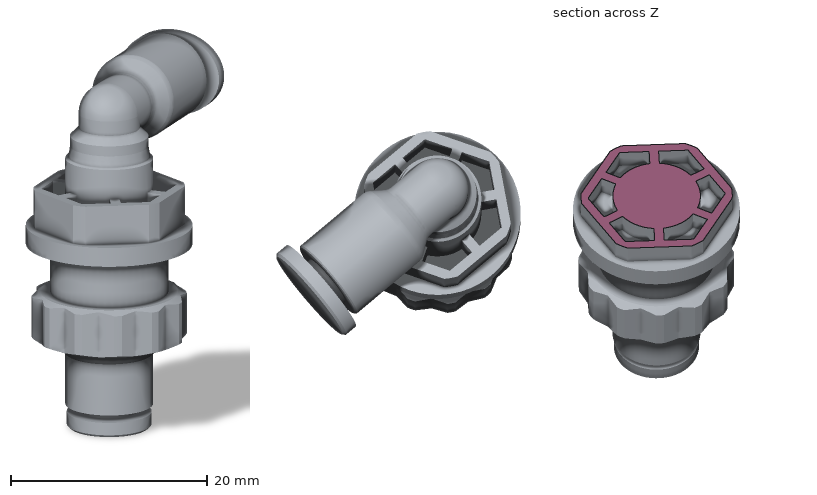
import cadquery as cq
import math


total_height = 37.7
tube_radius = 4.5
elbow_radius = 3.13
arm_height = total_height - tube_radius
arm_length = 17.1

ring_radius = 4.35
ring_thickness = 1.6
ring_chamfer = 0.25
arm_ring_half_width = 5.45
neck_radius = 2.8
neck_length = 0.83

sleeve_top = 7.85
shank_radius = 6.05
flange_diameter = 17.0
flange_radius = flange_diameter / 2
flange_bottom = 19.38
flange_top = 21.38
tube_bevel_height = 0.2
tube_top = 28.65

base_radius = 4.0
base_bottom_radius = 4.2
base_taper_top = 29.8
base_shoulder = 30.85
base_top = base_shoulder + base_radius - elbow_radius

nut_bottom = 9.27
cone_radius = tube_radius + nut_bottom - sleeve_top
nut_top = 14.33
nut_radius = 7.9
nut_valley_radius = 7.35
nut_face_radius = 7.0
nut_bevel_height = 0.38
nut_teeth = 12
tooth_half_angle = 3.0

hex_top = 25.4
hex_flat = 7.0
hex_corner_radius = 7.73
hex_sides = 6
hex_wall = 0.98
rib_width = 1.0

barrel_end_chamfer = 0.15
barrel_front = 5.85
cone_end = 3.95
blend_tangent = 0.35


def polar(radius, degrees):
    angle = math.radians(degrees)
    return (radius * math.cos(angle), radius * math.sin(angle))


def disc(radius, bottom, top):
    return cq.Workplane("XY").workplane(offset=bottom).circle(radius).extrude(top - bottom)


def hexagon(flat, bottom, top):
    """Hexagonal prism with a corner pointing along -Y; flat is centre to side."""
    corner = flat / math.cos(math.pi / hex_sides)
    points = [polar(corner, 90 + 360 / hex_sides * i) for i in range(hex_sides)]
    return cq.Workplane("XY").workplane(offset=bottom).polyline(points).close().extrude(top - bottom)


def make_body():
    """Turned core from the lower release ring up to the elbow."""
    neck_top = ring_thickness + neck_length
    profile = [
        (0, 0),
        (ring_radius - ring_chamfer, 0),
        (ring_radius, ring_chamfer),
        (ring_radius, ring_thickness),
        (neck_radius, ring_thickness),
        (neck_radius, neck_top),
        (tube_radius, neck_top),
        (tube_radius, sleeve_top),
        (cone_radius, nut_bottom),
        (shank_radius, nut_bottom),
        (shank_radius, flange_bottom),
        (flange_radius, flange_bottom),
        (flange_radius, flange_top),
        (tube_radius, flange_top),
        (tube_radius, tube_top - tube_bevel_height),
        (base_bottom_radius, tube_top),
        (base_radius, base_taper_top),
        (base_radius, base_shoulder),
        (elbow_radius, base_top),
        (elbow_radius, arm_height),
        (0, arm_height),
    ]
    return cq.Workplane("XZ").polyline(profile).close().revolve(360, (0, 0), (0, 1))


def make_nut():
    """Nut with flat-sided V notches between narrow teeth and bevelled end faces."""
    pitch = 360 / nut_teeth
    outline = cq.Workplane("XY").workplane(offset=nut_bottom)
    outline = outline.moveTo(*polar(nut_radius, -tooth_half_angle))
    for i in range(nut_teeth):
        middle = i * pitch
        outline = outline.threePointArc(
            polar(nut_radius, middle), polar(nut_radius, middle + tooth_half_angle)
        )
        outline = outline.lineTo(*polar(nut_valley_radius, middle + pitch / 2))
        if i < nut_teeth - 1:
            outline = outline.lineTo(*polar(nut_radius, middle + pitch - tooth_half_angle))
    knurl = outline.close().extrude(nut_top - nut_bottom)
    profile = [
        (0, nut_bottom),
        (nut_face_radius, nut_bottom),
        (nut_radius, nut_bottom + nut_bevel_height),
        (nut_radius, nut_top - nut_bevel_height),
        (nut_face_radius, nut_top),
        (0, nut_top),
    ]
    bevelled_disc = cq.Workplane("XZ").polyline(profile).close().revolve(360, (0, 0), (0, 1))
    return knurl.intersect(bevelled_disc)


def make_hex_head():
    """Hex head with rounded-off corners, hollowed around the tube and braced by ribs."""
    head = hexagon(hex_flat, flange_top, hex_top).intersect(disc(hex_corner_radius, flange_top, hex_top))
    inner_flat = hex_flat - hex_wall
    head = head.cut(hexagon(inner_flat, flange_top, hex_top))
    rib_height = hex_top - flange_top
    rib_reach = hex_flat - hex_wall / 2
    rib = cq.Workplane("XY").box(rib_reach, rib_width, rib_height, centered=(False, True, False))
    rib = rib.translate((0, 0, flange_top))
    for i in range(hex_sides):
        head = head.union(rib.rotate((0, 0, 0), (0, 0, 1), 360 / hex_sides * i))
    return head


def make_arm():
    """Elbow and barrel turned about the arm axis, with an oval release ring at the end."""
    ring_start = arm_length - ring_thickness
    barrel_end = ring_start - neck_length
    cone_slope = math.atan2(tube_radius - elbow_radius, barrel_front - cone_end)
    profile = [
        (0, 0),
        (elbow_radius, 0),
        (elbow_radius, cone_end),
        (tube_radius, barrel_front),
        (tube_radius, barrel_end - barrel_end_chamfer),
        (tube_radius - barrel_end_chamfer, barrel_end),
        (neck_radius, barrel_end),
        (neck_radius, ring_start),
        (0, ring_start),
    ]
    turned = cq.Workplane("XY").polyline(profile).close().revolve(360, (0, 0), (0, 1))
    blend_radius = blend_tangent / math.tan(cone_slope / 2)
    for position in (cone_end, barrel_front):
        reach = 2 * tube_radius
        low_corner = (-reach, position - blend_tangent, -reach)
        high_corner = (reach, position + blend_tangent, reach)
        rim = cq.selectors.BoxSelector(low_corner, high_corner, boundingbox=True)
        turned = turned.edges(rim).fillet(blend_radius)
    ring = (
        cq.Workplane("XZ", origin=(0, ring_start, 0))
        .ellipse(arm_ring_half_width, ring_radius)
        .extrude(-ring_thickness)
        .faces(">Y")
        .chamfer(ring_chamfer)
    )
    elbow_ball = cq.Workplane("XY").sphere(elbow_radius)
    return turned.union(ring).union(elbow_ball).translate((0, 0, arm_height))


result = make_body().union(make_nut()).union(make_hex_head()).union(make_arm())